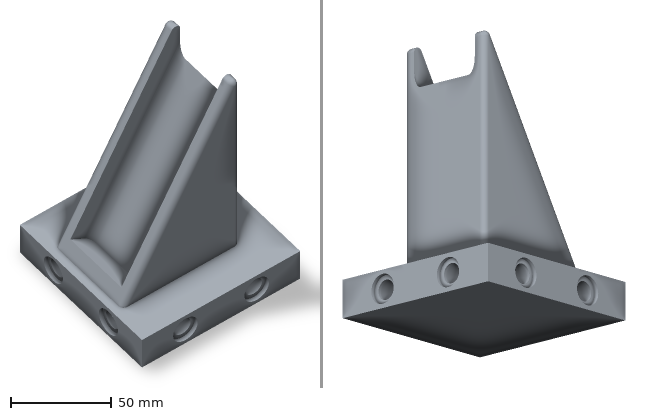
import cadquery as cq
import math

PLATE_SIDE = 100.0
PLATE_THICKNESS = 20.0

SOCKET_SPACING = 45.0
COUNTERBORE_DIAMETER = 15.5
COUNTERBORE_DEPTH = 2.5
BORE_DIAMETER = 10.5
BORE_DEPTH = 1.0

TOTAL_HEIGHT = 139.8
WEDGE_WIDTH = 55.0
WEDGE_BACK_Y = 28.8
SLOPE_ANGLE = 60.0
WEDGE_EDGE_RADIUS = 3.0

CHANNEL_WIDTH = 41.7
CHANNEL_DEPTH = 15.0
CHANNEL_FLOOR_RADIUS = 4.5
CHANNEL_TOE_MARGIN = 9.0

apex_half_angle = math.radians(90 - SLOPE_ANGLE) / 2
apex_rounding_loss = WEDGE_EDGE_RADIUS * (1 / math.tan(apex_half_angle) - 1)
sharp_height = TOTAL_HEIGHT - PLATE_THICKNESS + apex_rounding_loss
wedge_length = sharp_height / math.tan(math.radians(SLOPE_ANGLE))
slope_length = math.hypot(sharp_height, wedge_length)
toe_y = WEDGE_BACK_Y - wedge_length


def make_socket():
    """Counterbore and short bore ending in a hemisphere, entering the -Y side of the plate."""
    face_y = -PLATE_SIDE / 2
    counterbore_floor_y = face_y + COUNTERBORE_DEPTH
    bowl_y = counterbore_floor_y + BORE_DEPTH
    bore_radius = BORE_DIAMETER / 2
    arc_reach = bore_radius * math.sin(math.radians(45))
    return (
        cq.Workplane("XY")
        .moveTo(0, face_y)
        .lineTo(COUNTERBORE_DIAMETER / 2, face_y)
        .lineTo(COUNTERBORE_DIAMETER / 2, counterbore_floor_y)
        .lineTo(bore_radius, counterbore_floor_y)
        .lineTo(bore_radius, bowl_y)
        .threePointArc((arc_reach, bowl_y + arc_reach), (0, bowl_y + bore_radius))
        .close()
        .revolve(360, (0, 0, 0), (0, 1, 0))
        .translate((0, 0, PLATE_THICKNESS / 2))
    )


def make_plate():
    """Square plate with a pair of sockets in each of its four sides."""
    plate = cq.Workplane("XY").box(PLATE_SIDE, PLATE_SIDE, PLATE_THICKNESS, centered=(True, True, False))
    socket = make_socket()
    for side_angle in (0, 90, 180, 270):
        for offset in (-SOCKET_SPACING / 2, SOCKET_SPACING / 2):
            placed_socket = socket.translate((offset, 0, 0)).rotate((0, 0, 0), (0, 0, 1), side_angle)
            plate = plate.cut(placed_socket)
    return plate


def make_channel():
    """Cutter running up the slope, open at the top, with rounded floor corners."""
    slope_plane = cq.Plane(
        origin=(0, toe_y, PLATE_THICKNESS),
        xDir=(1, 0, 0),
        normal=(0, -math.sin(math.radians(SLOPE_ANGLE)), math.cos(math.radians(SLOPE_ANGLE))),
    )
    cutter = (
        cq.Workplane("XY")
        .box(CHANNEL_WIDTH, slope_length, 2 * CHANNEL_DEPTH, centered=(True, False, True))
        .edges("|Y and <Z")
        .fillet(CHANNEL_FLOOR_RADIUS)
        .translate((0, CHANNEL_TOE_MARGIN, 0))
    )
    return cq.Workplane(cutter.val().moved(cq.Location(slope_plane)))


def make_wedge():
    """Right-triangular wedge with rounded upper edges and a channel in its slope."""
    blank = (
        cq.Workplane("YZ", origin=(-WEDGE_WIDTH / 2, 0, 0))
        .moveTo(toe_y, PLATE_THICKNESS)
        .lineTo(WEDGE_BACK_Y, PLATE_THICKNESS)
        .lineTo(WEDGE_BACK_Y, PLATE_THICKNESS + sharp_height)
        .close()
        .extrude(WEDGE_WIDTH)
    )
    rounded = blank.edges("not <Z").fillet(WEDGE_EDGE_RADIUS)
    return rounded.cut(make_channel())


plate = make_plate()
wedge = make_wedge()

result = cq.Compound.makeCompound([plate.solids().val(), wedge.solids().val()])